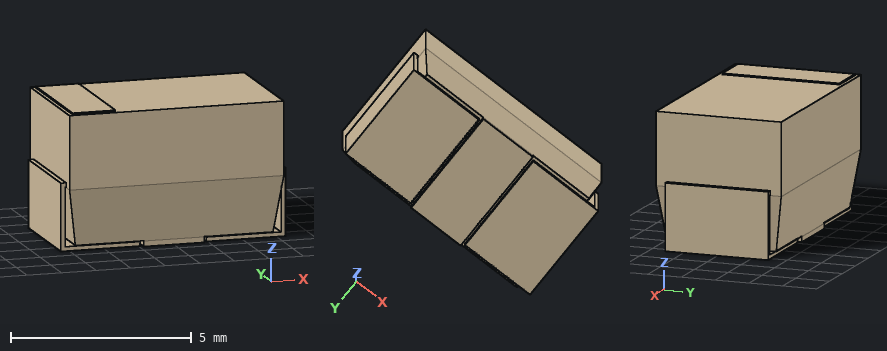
import cadquery as cq

overall_length = 6.5
overall_height = 3.96

body_length = 6.2
body_width = 3.71
taper_inset = 0.24
underside_z = 0.17
split_z = 1.815
base_length = body_length - 2 * taper_inset
base_width = body_width - 2 * taper_inset
pad_length = 1.75

mark_length = body_length / 5
mark_inset = 0.125
mark_thickness = 0.04
body_top_z = overall_height - mark_thickness

terminal_width = 3.05
terminal_thickness = 0.13
terminal_height = 1.945
foot_length = 2.295


def make_body():
    """Straight upper block, tapered lower block and standoff pad in one solid."""
    upper = (
        cq.Workplane("XY", origin=(0, 0, split_z))
        .rect(body_length, body_width)
        .extrude(body_top_z - split_z)
    )
    lower = (
        cq.Workplane("XY", origin=(0, 0, underside_z))
        .rect(base_length, base_width)
        .workplane(offset=split_z - underside_z)
        .rect(body_length, body_width)
        .loft(ruled=True)
    )
    pad = cq.Workplane("XY").rect(pad_length, base_width).extrude(underside_z)
    return upper.union(lower).union(pad)


def make_polarity_mark():
    """Thin rectangular plate on top, near the -X end."""
    mark_center_x = -body_length / 2 + mark_inset + mark_length / 2
    return (
        cq.Workplane("XY", origin=(mark_center_x, 0, body_top_z))
        .rect(mark_length, body_width - 2 * mark_inset)
        .extrude(mark_thickness)
    )


def make_terminal(side):
    """L-shaped strip whose top lip touches the body end; side is -1 or +1 along X."""
    outer_x = overall_length / 2
    inner_x = outer_x - terminal_thickness
    lip_x = body_length / 2
    foot_end_x = outer_x - foot_length
    profile = [
        (foot_end_x, 0),
        (outer_x, 0),
        (outer_x, terminal_height),
        (lip_x, terminal_height),
        (lip_x, split_z),
        (inner_x, split_z),
        (inner_x, terminal_thickness),
        (foot_end_x, terminal_thickness),
    ]
    return (
        cq.Workplane("XZ")
        .polyline([(side * x, z) for x, z in profile])
        .close()
        .extrude(terminal_width / 2, both=True)
    )


body = make_body()
polarity_mark = make_polarity_mark()
terminals = [make_terminal(side) for side in (-1, 1)]

result = cq.Compound.makeCompound(
    [body.val(), polarity_mark.val(), *[terminal.val() for terminal in terminals]]
)